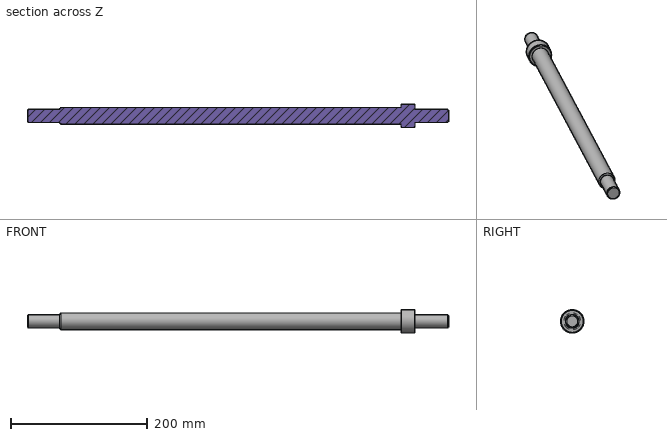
import cadquery as cq

total_length = 618.0
left_journal_length = 47.0
collar_start = 547.5
collar_width = 21.0
collar_end = collar_start + collar_width

journal_diameter = 20.0
body_diameter = 25.0
collar_diameter = 34.5

left_end_chamfer = 1.0
shoulder_chamfer = 2.0
collar_chamfer = 1.0
right_end_chamfer = 2.0

journal_radius = journal_diameter / 2
body_radius = body_diameter / 2
collar_radius = collar_diameter / 2

half_section = (
    cq.Workplane("XZ")
    .moveTo(0, 0)
    .lineTo(0, journal_radius - left_end_chamfer)
    .lineTo(left_end_chamfer, journal_radius)
    .lineTo(left_journal_length, journal_radius)
    .lineTo(left_journal_length, body_radius - shoulder_chamfer)
    .lineTo(left_journal_length + shoulder_chamfer, body_radius)
    .lineTo(collar_start, body_radius)
    .lineTo(collar_start, collar_radius - collar_chamfer)
    .lineTo(collar_start + collar_chamfer, collar_radius)
    .lineTo(collar_end - collar_chamfer, collar_radius)
    .lineTo(collar_end, collar_radius - collar_chamfer)
    .lineTo(collar_end, journal_radius)
    .lineTo(total_length - right_end_chamfer, journal_radius)
    .lineTo(total_length, journal_radius - right_end_chamfer)
    .lineTo(total_length, 0)
    .close()
)

shaft = half_section.revolve(360, (0, 0, 0), (1, 0, 0))
result = shaft.translate((-total_length / 2, 0, 0))